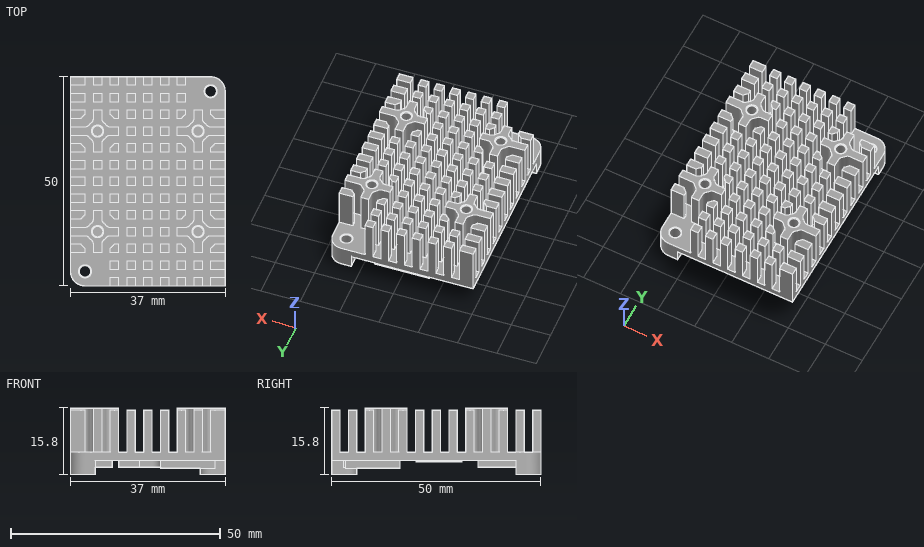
import cadquery as cq
import math

length_x = 37
length_y = 50
foot_height = 3.35
plate_thickness = 2
plate_top = foot_height + plate_thickness
pin_height = 10
pin_top = plate_top + pin_height
corner_radius = 3.5

pitch = 4
pin_width = 2
columns_each_side = 3
rows_each_side = 6
edge_pin_length = 3.5

standoff_offset = 3 * pitch
standoff_rise = 0.5
standoff_top = pin_top + standoff_rise
standoff_radius = 2.5
standoff_fillet = 1.25
standoff_clearance_radius = 5
standoff_arm_reach = pitch + pin_width / 2
standoff_bore = 2.5
standoff_bore_mouth = 2.9

foot_size = 6
foot_inner_radius = 2.5
foot_hole_inset = 3.5
foot_hole = 2.75
foot_hole_mouth = 3.1

pad_depth = 1.65
deep_pad_depth = 1.85
thin_pad_depth = 0.35

center_pad_size = 11
center_pad_y = 0.65

large_pad_size = 13.9
large_pad_y_min = 9.95

side_pad_size = 7.05
side_pad_x_max = -8.45
side_pad_y_min = 11.4

deep_pad_size = 13.05
deep_pad_x_min = 3.05
deep_pad_y_max = -8.65

link_pad_length = 5
link_pad_width = 6.05
link_web_radius = 1.9

small_pad_size = 5
small_pad_y_max = -17.15

standoff_points = [
    (sx * standoff_offset, sy * standoff_offset) for sx in (-1, 1) for sy in (-1, 1)
]
foot_hole_x = length_x / 2 - foot_hole_inset
foot_hole_y = length_y / 2 - foot_hole_inset
foot_hole_points = [(-foot_hole_x, -foot_hole_y), (foot_hole_x, foot_hole_y)]


def block(x_min, x_max, y_min, y_max, z_min, z_max):
    """Axis-aligned box given by its limits."""
    size = (x_max - x_min, y_max - y_min, z_max - z_min)
    return cq.Workplane("XY").box(*size, centered=False).translate((x_min, y_min, z_min))


def plate():
    """Flat plate, rounded only at the two corners that carry feet."""
    body = block(-length_x / 2, length_x / 2, -length_y / 2, length_y / 2, foot_height, plate_top)
    body = body.edges("|Z and <(1, 1, 0)").fillet(corner_radius)
    return body.edges("|Z and >(1, 1, 0)").fillet(corner_radius)


def foot(side):
    """Corner foot; side is -1 for the (-X, -Y) corner and +1 for the (+X, +Y) corner."""
    center = (side * (length_x - foot_size) / 2, side * (length_y - foot_size) / 2)
    body = cq.Workplane("XY").center(*center).rect(foot_size, foot_size).extrude(plate_top)
    outer, inner = (">", "<") if side > 0 else ("<", ">")
    body = body.edges(f"|Z and {outer}(1, 1, 0)").fillet(corner_radius)
    return body.edges(f"|Z and {inner}(1, 1, 0)").fillet(foot_inner_radius)


def is_over_foot(x, y):
    """True for the grid places left empty above a foot."""
    outer_columns = abs(x) >= columns_each_side * pitch
    outer_rows = abs(y) >= (rows_each_side - 1) * pitch
    return outer_columns and outer_rows and x * y > 0


def pins():
    """Pin field, cut back by a clearance circle around every standoff."""
    field = cq.Workplane("XY").workplane(offset=plate_top)
    edge_x = (length_x - edge_pin_length) / 2
    square_points = []
    edge_points = []
    for row in range(-rows_each_side, rows_each_side + 1):
        y = row * pitch
        for column in range(-columns_each_side, columns_each_side + 1):
            if not is_over_foot(column * pitch, y):
                square_points.append((column * pitch, y))
        for x in (-edge_x, edge_x):
            if not is_over_foot(x, y):
                edge_points.append((x, y))
    square_pins = field.pushPoints(square_points).rect(pin_width, pin_width).extrude(pin_height)
    edge_pins = field.pushPoints(edge_points).rect(edge_pin_length, pin_width).extrude(pin_height)
    clearance = field.pushPoints(standoff_points).circle(standoff_clearance_radius).extrude(pin_height)
    return square_pins.add(edge_pins).combine().cut(clearance)


def standoff(x, y):
    """Round post with four arms; the outward arm runs to the plate side."""
    height = standoff_top - plate_top
    side = math.copysign(1, x)
    x_min, x_max = sorted((side * length_x / 2, x - side * standoff_arm_reach))
    half_arm = pin_width / 2
    post = cq.Workplane("XY").center(x, y).circle(standoff_radius).extrude(height)
    post = post.union(block(x_min, x_max, y - half_arm, y + half_arm, 0, height))
    post = post.union(
        block(x - half_arm, x + half_arm, y - standoff_arm_reach, y + standoff_arm_reach, 0, height)
    )
    near_post = cq.selectors.BoxSelector(
        (x - standoff_radius, y - standoff_radius, 0),
        (x + standoff_radius, y + standoff_radius, height),
    )
    post = post.edges("|Z").edges(near_post).fillet(standoff_fillet)
    return post.translate((0, 0, plate_top))


def pad(x_min, y_min, size_x, size_y, depth):
    """Rectangular contact pad hanging from the underside of the plate."""
    return block(x_min, x_min + size_x, y_min, y_min + size_y, foot_height - depth, foot_height)


def corner_web(x, y, radius, depth):
    """Filler with a concave quarter-round, on the -X and -Y sides of its square corner (x, y)."""
    return (
        cq.Workplane("XY")
        .workplane(offset=foot_height - depth)
        .moveTo(x, y)
        .lineTo(x - radius, y)
        .radiusArc((x, y - radius), radius)
        .close()
        .extrude(depth)
    )


def chamfered_hole(points, top, depth, bore, mouth):
    """Cutter for round holes going down from top, with a 45 degree chamfered mouth."""
    chamfer = (mouth - bore) / 2
    start = cq.Workplane("XY").workplane(offset=top - depth).pushPoints(points)
    cone = cq.Workplane("XY").workplane(offset=top).pushPoints(points)
    cone = cone.circle(mouth / 2).extrude(-chamfer, taper=45)
    return start.circle(bore / 2).extrude(depth).union(cone)


def contact_pads():
    """All pads on the underside of the plate."""
    center_half = center_pad_size / 2
    link_y_min = deep_pad_y_max - link_pad_width
    link_x_min = deep_pad_x_min - link_pad_length
    return [
        pad(-center_half, center_pad_y - center_half, center_pad_size, center_pad_size, thin_pad_depth),
        pad(-large_pad_size / 2, large_pad_y_min, large_pad_size, large_pad_size, pad_depth),
        pad(side_pad_x_max - side_pad_size, side_pad_y_min, side_pad_size, side_pad_size, pad_depth),
        pad(deep_pad_x_min, deep_pad_y_max - deep_pad_size, deep_pad_size, deep_pad_size, deep_pad_depth),
        pad(link_x_min, link_y_min, link_pad_length, link_pad_width, pad_depth),
        corner_web(deep_pad_x_min, link_y_min, link_web_radius, pad_depth),
        pad(-large_pad_size / 2, small_pad_y_max - small_pad_size, small_pad_size, small_pad_size, pad_depth),
    ]


result = plate().union(foot(-1)).union(foot(1)).union(pins())
for x, y in standoff_points:
    result = result.union(standoff(x, y))
for contact_pad in contact_pads():
    result = result.union(contact_pad)

foot_holes = chamfered_hole(foot_hole_points, plate_top, plate_top, foot_hole, foot_hole_mouth)
standoff_bores = chamfered_hole(
    standoff_points, standoff_top, standoff_top - plate_top, standoff_bore, standoff_bore_mouth
)
result = result.cut(foot_holes).cut(standoff_bores)